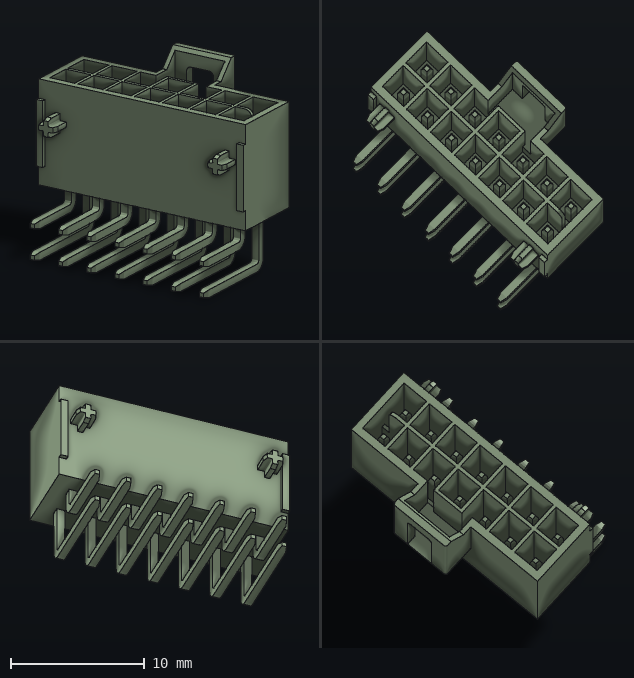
import cadquery as cq
import math


columns = 7
pitch = 2.5

body_length = 18.44
body_depth = 6.01
body_height = 8.46
cell_size = 2.21
cell_depth = 6.64
cell_floor = body_height - cell_depth
wall = pitch - cell_size
column_places = [(i - (columns - 1) / 2) * pitch for i in range(columns)]
front_row = body_depth / 2 - pitch / 2
rear_row = body_depth / 2 + pitch / 2
cells_rear = rear_row + cell_size / 2

latch_width = 5.24
latch_reach = 2.84
latch_rise = 1.5
latch_drop = 4.98
latch_side_wall = 0.4
latch_back_wall = 0.87
latch_lip = 0.59
latch_shelf = 0.83
latch_floor_wall = 0.18
latch_round = 0.2
latch_back = body_depth + latch_reach
latch_top = body_height + latch_rise
latch_bottom = body_height - latch_drop
latch_floor = latch_bottom + latch_floor_wall
recess_width = latch_width - 2 * latch_side_wall
shroud_wall = 0.25

window_width = 2.36
window_rise = 0.13
window_top = body_height + window_rise
window_round = 0.37

notch_width = 0.68
notch_depth = 4.43
notch_round = 0.7

rail_width = 0.59
rail_height = 5.31
rail_bottom = 1.6
rail_depth = 0.33

peg_diameter = 1.59
peg_arm = 0.42
peg_length = 1.62
peg_tip_length = 0.46
peg_tip_inset = 0.15
peg_corner_round = 0.11
peg_z = 5.3

pin_width = 0.65
pin_tip_width = 0.37
pin_tip_length = 0.53
pin_reach = 3.49
pin_recess = 2.21
pin_top = body_height - pin_recess
bend_inner = 0.25
bend_outer = bend_inner + pin_width
rear_pin_drop = 4.7
front_pin_drop = rear_pin_drop - pitch


def box(x_range, y_range, z_range):
    """Box given by its limits along each axis."""
    size = [high - low for low, high in (x_range, y_range, z_range)]
    corner = (x_range[0], y_range[0], z_range[0])
    return cq.Workplane("XY").box(*size, centered=False).translate(corner)


def make_latch():
    """Solid latch block with a sloped top, rounded along its outer edges."""
    half = latch_width / 2
    latch = (
        cq.Workplane("YZ", origin=(-half, 0, 0))
        .moveTo(cells_rear, latch_bottom)
        .lineTo(latch_back, latch_bottom)
        .lineTo(latch_back, latch_top)
        .lineTo(latch_back - latch_lip, latch_top)
        .lineTo(body_depth + latch_shelf, body_height)
        .lineTo(cells_rear, body_height)
        .close()
        .extrude(latch_width)
    )
    return latch.edges("(>Y and |Z) or (<Z and |X and >Y) or (<Z and |Y)").fillet(latch_round)


def make_recess():
    """Space inside the latch, open to the cells beside the shrouded middle cell."""
    half = recess_width / 2
    recess = box((-half, half), (cells_rear, latch_back - latch_back_wall), (latch_floor, latch_top))
    shroud_half = cell_size / 2 + wall
    shroud = box(
        (-shroud_half, shroud_half),
        (cells_rear, cells_rear + shroud_wall),
        (latch_floor, body_height),
    )
    return recess.cut(shroud)


def make_window():
    """Opening through the latch back wall with rounded upper corners."""
    half = window_width / 2
    opening = box(
        (-half, half),
        (latch_back - latch_back_wall, latch_back),
        (latch_floor, window_top),
    )
    return opening.edges(">Z and |Y").fillet(window_round)


def make_cells():
    """All contact cells, open at the top."""
    places = [(x, y) for x in column_places for y in (front_row, rear_row)]
    return (
        cq.Workplane("XY", origin=(0, 0, cell_floor))
        .pushPoints(places)
        .rect(cell_size, cell_size)
        .extrude(cell_depth)
    )


def make_notch():
    """Gap in the last divider, the end of the divider rounded at its top."""
    right = column_places[-1] + cell_size / 2
    left = right - notch_width
    top = body_height
    diagonal = notch_round * math.sqrt(0.5)
    arc_middle = (left - notch_round + diagonal, top - notch_round + diagonal)
    y_back = (body_depth + wall) / 2
    return (
        cq.Workplane("XZ", origin=(0, y_back, 0))
        .moveTo(left - notch_round, top)
        .threePointArc(arc_middle, (left, top - notch_round))
        .lineTo(left, top - notch_depth)
        .lineTo(right, top - notch_depth)
        .lineTo(right, top)
        .close()
        .extrude(wall)
    )


def make_rail(side):
    """Standoff rail flush with one end of the housing (side is -1 or 1)."""
    center_x = side * (body_length - rail_width) / 2
    return box(
        (center_x - rail_width / 2, center_x + rail_width / 2),
        (-rail_depth, 0),
        (rail_bottom, rail_bottom + rail_height),
    )


def make_peg(x):
    """Cross cut from a round peg with a conical tip, its inner corners rounded."""
    radius = peg_diameter / 2
    round_peg = (
        cq.Workplane("XY")
        .moveTo(0, 0)
        .lineTo(radius, 0)
        .lineTo(radius, peg_tip_length - peg_length)
        .lineTo(radius - peg_tip_inset, -peg_length)
        .lineTo(0, -peg_length)
        .close()
        .revolve(360, (0, 0), (0, 1))
    )
    half_arm = peg_arm / 2
    flat_bar = box((-radius, radius), (-peg_length, 0), (-half_arm, half_arm))
    upright_bar = box((-half_arm, half_arm), (-peg_length, 0), (-radius, radius))
    inner_corners = cq.selectors.BoxSelector(
        (-peg_arm, -peg_length, -peg_arm),
        (peg_arm, 0, peg_arm),
    )
    cross = flat_bar.union(upright_bar)
    cross = cross.edges("|Y").edges(inner_corners).fillet(peg_corner_round)
    return cross.intersect(round_peg).translate((x, 0, peg_z))


def make_pin(x, y, drop):
    """Square contact running down through the floor, then bent forward."""
    half = pin_width / 2
    shoulder_y = pin_tip_length - pin_reach
    shoulder_z = pin_top - pin_tip_length
    top_tip = (
        cq.Workplane("XY", origin=(x, y, shoulder_z))
        .rect(pin_width, pin_width)
        .workplane(offset=pin_tip_length)
        .rect(pin_tip_width, pin_tip_width)
        .loft()
    )
    outline = [
        (y - half, shoulder_z),
        (y + half, shoulder_z),
        (y + half, -drop),
        (shoulder_y, -drop),
        (shoulder_y, pin_width - drop),
        (y - half, pin_width - drop),
    ]
    shank = cq.Workplane("YZ", origin=(x - half, 0, 0)).polyline(outline).close().extrude(pin_width)
    inner_corner = cq.selectors.NearestToPointSelector((x, y - half, pin_width - drop))
    outer_corner = cq.selectors.NearestToPointSelector((x, y + half, -drop))
    shank = shank.edges("|X").edges(inner_corner).fillet(bend_inner)
    shank = shank.edges("|X").edges(outer_corner).fillet(bend_outer)
    front_tip = (
        cq.Workplane("XZ", origin=(x, shoulder_y, half - drop))
        .rect(pin_width, pin_width)
        .workplane(offset=pin_tip_length)
        .rect(pin_tip_width, pin_tip_width)
        .loft()
    )
    return shank.union(top_tip).union(front_tip)


half_length = body_length / 2
result = box((-half_length, half_length), (0, body_depth), (0, body_height))
result = result.union(make_latch())
result = result.cut(make_cells()).cut(make_recess()).cut(make_window()).cut(make_notch())

for side in (-1, 1):
    result = result.union(make_rail(side))
for peg_x in (column_places[0], column_places[-1]):
    result = result.union(make_peg(peg_x))

for pin_x in column_places:
    result = result.union(make_pin(pin_x, front_row, front_pin_drop))
    result = result.union(make_pin(pin_x, rear_row, rear_pin_drop))

result = result.newObject([result.solids().val()])